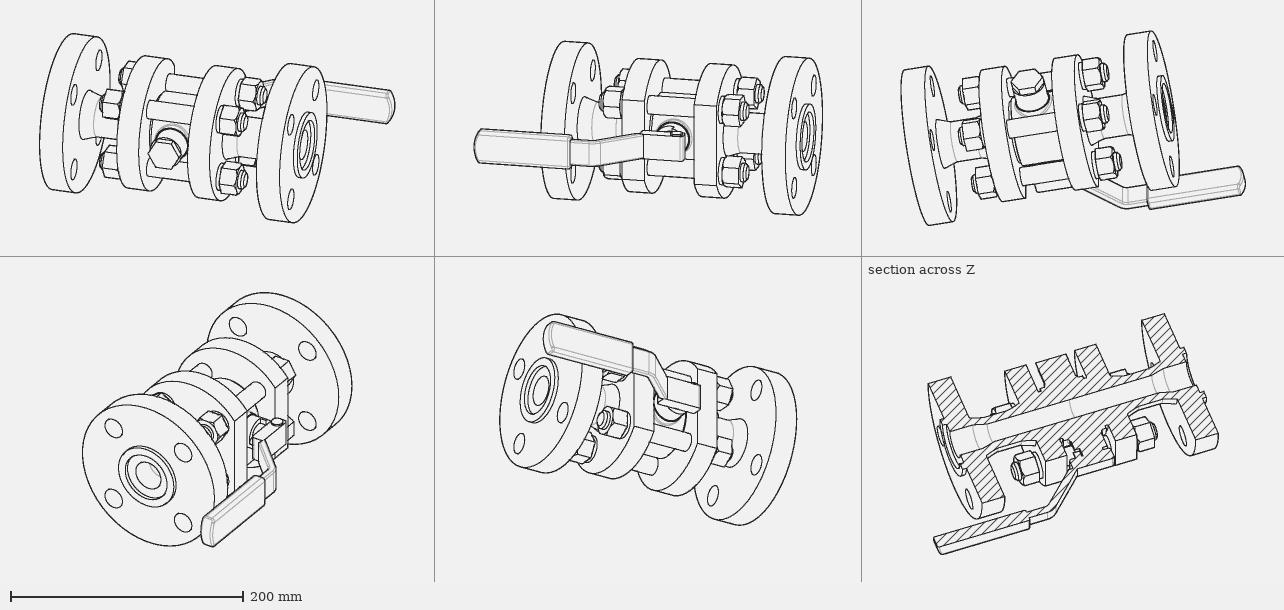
import cadquery as cq
import math


FACE_X = 112.0
FLANGE_X = 108.5
FLANGE_THICKNESS = 21.0
FLANGE_DIA = 136.0
RAISED_DIA = 57.0
RECESS_DIA = 43.0
FLANGE_HOLE_DIA = 18.0
FLANGE_HOLE_OFFSET = 35.7
PIPE_DIA = 35.0
HUB_DIA = 43.0
HUB_LENGTH = 12.0
HUB_HOLLOW = 0.3
PORT_DIA = 26.0
BORE_DIA = 19.0

CLAMP_OUTER_X = 42.0
CLAMP_THICKNESS = 20.0
CLAMP_DIA = 115.2
CLAMP_FLAT_Y = 45.2
BODY_DIA = 59.5
BODY_HALF_LENGTH = 19.5
SEAT_DIA = 54.0

STUD_OFFSET = 27.5
STUD_DIA = 16.0
STUD_TIP_DIA = 12.0
STUD_END_X = 65.0
WASHER_DIA = 23.7
WASHER_THICKNESS = 3.3
NUT_THICKNESS = 15.0
NUT_CORNER_DIA = 28.0
NUT_BEVEL = 1.5

BOSS_DIA = 28.0
COLLAR_DIA = 30.0
COLLAR_Y = 32.5
COLLAR_ROOT_RADIUS = 1.4
BOSS_TOP_Y = 48.0
PLUG_Y = -50.0
PLUG_END_Y = -56.5
NOTCH_FLOOR_Y = 42.2
NOTCH_WALL = 3.3
STEM_DIA = 19.0
STOP_PIN_DIA = 6.0
STOP_PIN_X = 13.3
STOP_PIN_END_Y = 44.0

LEVER_HUB_LEFT_X = -15.8
LEVER_HUB_RIGHT_X = 22.3
LEVER_HUB_Y = 55.8
LEVER_HUB_HEIGHT = 12.0
LEVER_HUB_RADIUS = 2.5
SCREW_X = -9.0
SCREW_DIA = 10.3
SCREW_HEAD_HEIGHT = 1.4
LEVER_WIDTH = 22.0
LEVER_THICKNESS = 6.8
LEVER_EDGE_RADIUS = 1.4
LEVER_START_Y = 59.5
LEVER_BEND_X = 54.7
LEVER_BEND_RADIUS = 9.5
GRIP_START_X = 75.5
GRIP_END_X = 272.3 - FACE_X
GRIP_CROWN = 4.4
GRIP_WIDTH = 28.9
GRIP_THICKNESS = 12.0
GRIP_Y = 167.0 - FLANGE_DIA / 2 - GRIP_THICKNESS / 2
GRIP_EDGE_RADIUS = 3.0
GRIP_END_RADIUS = 1.5

FLANGE_BACK_X = FLANGE_X - FLANGE_THICKNESS
CLAMP_INNER_X = CLAMP_OUTER_X - CLAMP_THICKNESS
WASHER_X = CLAMP_OUTER_X + WASHER_THICKNESS
NUT_X = WASHER_X + NUT_THICKNESS
ALONG_X = cq.Vector(1, 0, 0)
ALONG_Y = cq.Vector(0, 1, 0)


def x_cylinder(diameter, start, end, y=0, z=0):
    """Cylinder along X between two X positions."""
    axis_point = cq.Vector(start, y, z)
    return cq.Workplane(cq.Solid.makeCylinder(diameter / 2, end - start, axis_point, ALONG_X))


def y_cylinder(diameter, start, end, x=0):
    """Cylinder along Y between two Y positions."""
    axis_point = cq.Vector(x, start, 0)
    return cq.Workplane(cq.Solid.makeCylinder(diameter / 2, end - start, axis_point, ALONG_Y))


def corners(offset):
    """The four (y, z) places of a square pattern around the X axis."""
    return [(y, z) for y in (-offset, offset) for z in (-offset, offset)]


def revolve_about_x(profile):
    """Solid of revolution from a half outline drawn in the XY plane."""
    return profile.close().revolve(360, (0, 0, 0), (1, 0, 0))


def end_flange():
    """Flange, raised ring and waisted neck of the +X end."""
    hub_r = HUB_DIA / 2
    pipe_r = PIPE_DIA / 2
    waist_r = (hub_r + pipe_r) / 2 - HUB_HOLLOW
    profile = (
        cq.Workplane("XY")
        .moveTo(CLAMP_OUTER_X, 0)
        .lineTo(CLAMP_OUTER_X, hub_r)
        .threePointArc((CLAMP_OUTER_X + HUB_LENGTH / 2, waist_r), (CLAMP_OUTER_X + HUB_LENGTH, pipe_r))
        .lineTo(FLANGE_BACK_X - HUB_LENGTH, pipe_r)
        .threePointArc((FLANGE_BACK_X - HUB_LENGTH / 2, waist_r), (FLANGE_BACK_X, hub_r))
        .lineTo(FLANGE_BACK_X, FLANGE_DIA / 2)
        .lineTo(FLANGE_X, FLANGE_DIA / 2)
        .lineTo(FLANGE_X, RAISED_DIA / 2)
        .lineTo(FACE_X, RAISED_DIA / 2)
        .lineTo(FACE_X, RECESS_DIA / 2)
        .lineTo(FLANGE_X, RECESS_DIA / 2)
        .lineTo(FLANGE_X, 0)
    )
    flange = revolve_about_x(profile)
    for y, z in corners(FLANGE_HOLE_OFFSET):
        flange = flange.cut(x_cylinder(FLANGE_HOLE_DIA, FLANGE_BACK_X, FLANGE_X, y, z))
    return flange


def clamp_flange():
    """Round clamp plate of the +X side with a flat towards the stem."""
    plate = x_cylinder(CLAMP_DIA, CLAMP_INNER_X, CLAMP_OUTER_X)
    stem_side = cq.Workplane("XY").box(
        CLAMP_THICKNESS, CLAMP_DIA, CLAMP_DIA, centered=(False, False, True)
    )
    return plate.cut(stem_side.translate((CLAMP_INNER_X, CLAMP_FLAT_Y, 0)))


def body():
    """Ball housing with the stem boss and the hexagonal plug across it."""
    housing = x_cylinder(BODY_DIA, -BODY_HALF_LENGTH, BODY_HALF_LENGTH)
    boss = y_cylinder(BOSS_DIA, PLUG_Y, BOSS_TOP_Y)
    collar = y_cylinder(COLLAR_DIA, -COLLAR_Y, COLLAR_Y)
    plug = (
        cq.Workplane("XZ", origin=(0, PLUG_Y, 0))
        .polygon(6, BOSS_DIA)
        .extrude(PLUG_Y - PLUG_END_Y)
    )
    notch = cq.Workplane("XY").box(BOSS_DIA, BOSS_DIA, BOSS_DIA, centered=False)
    notch = notch.translate((-NOTCH_WALL, NOTCH_FLOOR_Y, -NOTCH_WALL))
    seats = x_cylinder(SEAT_DIA, -CLAMP_INNER_X, CLAMP_INNER_X)
    housing = housing.union(collar).edges("%BSPLINE").fillet(COLLAR_ROOT_RADIUS)
    return housing.union(seats).union(boss).union(plug).cut(notch)


def nut(turn):
    """Hexagon nut on the X axis, starting at X = 0, bevelled at its +X end."""
    prism = cq.Workplane("YZ").polygon(6, NUT_CORNER_DIA).extrude(NUT_THICKNESS)
    bevel = x_cylinder(NUT_CORNER_DIA, 0, NUT_THICKNESS).faces(">X").chamfer(NUT_BEVEL)
    return prism.intersect(bevel).rotate((0, 0, 0), (1, 0, 0), turn)


def stud(y, z):
    """Stud through both clamp plates with a washer and nut at each end."""
    tip = (STUD_DIA - STUD_TIP_DIA) / 2
    parts = x_cylinder(STUD_DIA, -STUD_END_X, STUD_END_X).faces("<X or >X").chamfer(tip)
    parts = parts.union(x_cylinder(WASHER_DIA, -WASHER_X, -CLAMP_OUTER_X))
    parts = parts.union(x_cylinder(WASHER_DIA, CLAMP_OUTER_X, WASHER_X))
    turn = 0 if y * z > 0 else 90
    for start in (-NUT_X, WASHER_X):
        parts = parts.union(nut(turn).translate((start, 0, 0)))
    return parts.translate((0, y, z))


def lever_bar():
    """Cranked flat bar rising at 45 degrees from the hub, then running along X."""
    half = LEVER_THICKNESS / 2
    slope_shift = half * math.sqrt(2)
    corner_shift = half * math.tan(math.pi / 8)
    bar_end_x = (GRIP_START_X + GRIP_END_X) / 2
    start_x = LEVER_BEND_X - (GRIP_Y - LEVER_START_Y)
    bar = (
        cq.Workplane("XY", origin=(0, 0, -LEVER_WIDTH / 2))
        .moveTo(start_x - slope_shift, LEVER_START_Y)
        .lineTo(start_x + slope_shift, LEVER_START_Y)
        .lineTo(LEVER_BEND_X + corner_shift, GRIP_Y - half)
        .lineTo(bar_end_x, GRIP_Y - half)
        .lineTo(bar_end_x, GRIP_Y + half)
        .lineTo(LEVER_BEND_X - corner_shift, GRIP_Y + half)
        .close()
        .extrude(LEVER_WIDTH)
    )
    inner = cq.selectors.NearestToPointSelector((LEVER_BEND_X + corner_shift, GRIP_Y - half, 0))
    outer = cq.selectors.NearestToPointSelector((LEVER_BEND_X - corner_shift, GRIP_Y + half, 0))
    bar = bar.edges("|Z").edges(inner).fillet(LEVER_BEND_RADIUS - half)
    bar = bar.edges("|Z").edges(outer).fillet(LEVER_BEND_RADIUS + half)
    return bar.faces("<Z or >Z").edges().fillet(LEVER_EDGE_RADIUS)


def grip():
    """Sleeve over the lever bar with rounded edges and a crowned end."""
    half = GRIP_WIDTH / 2
    sleeve = (
        cq.Workplane("XZ", origin=(0, GRIP_Y + GRIP_THICKNESS / 2, 0))
        .moveTo(GRIP_START_X, -half)
        .lineTo(GRIP_END_X - GRIP_CROWN, -half)
        .threePointArc((GRIP_END_X, 0), (GRIP_END_X - GRIP_CROWN, half))
        .lineTo(GRIP_START_X, half)
        .close()
        .extrude(GRIP_THICKNESS)
    )
    sleeve = sleeve.edges("|X").fillet(GRIP_EDGE_RADIUS)
    return sleeve.faces("<X or >X").edges().fillet(GRIP_END_RADIUS)


def lever():
    """Stem, lever hub with its clamp screw and stop pin, bar and grip."""
    hub_bottom = LEVER_HUB_Y - LEVER_HUB_HEIGHT / 2
    hub_length = LEVER_HUB_RIGHT_X - LEVER_HUB_LEFT_X
    hub = cq.Workplane("XY").box(hub_length, LEVER_HUB_HEIGHT, LEVER_WIDTH)
    hub = hub.edges("|Z").fillet(LEVER_HUB_RADIUS)
    hub = hub.translate(((LEVER_HUB_LEFT_X + LEVER_HUB_RIGHT_X) / 2, LEVER_HUB_Y, 0))
    screw = (
        cq.Workplane("XY", origin=(SCREW_X, LEVER_HUB_Y, 0))
        .circle(SCREW_DIA / 2)
        .extrude(LEVER_WIDTH / 2 + SCREW_HEAD_HEIGHT)
    )
    stem = y_cylinder(STEM_DIA, NOTCH_FLOOR_Y, hub_bottom)
    stop_pin = y_cylinder(STOP_PIN_DIA, STOP_PIN_END_Y, hub_bottom, STOP_PIN_X)
    return hub.union(screw).union(stem).union(stop_pin).union(lever_bar()).union(grip())


def bore():
    """Straight bore that widens through the flange hubs to the end ports."""
    profile = (
        cq.Workplane("XY")
        .moveTo(0, 0)
        .lineTo(0, BORE_DIA / 2)
        .lineTo(FLANGE_BACK_X - HUB_LENGTH, BORE_DIA / 2)
        .lineTo(FLANGE_BACK_X, PORT_DIA / 2)
        .lineTo(FACE_X, PORT_DIA / 2)
        .lineTo(FACE_X, 0)
    )
    half = revolve_about_x(profile)
    return half.union(half.mirror("YZ"))


right_end = end_flange().union(clamp_flange())
result = body().union(right_end).union(right_end.mirror("YZ"))
for stud_y, stud_z in corners(STUD_OFFSET):
    result = result.union(stud(stud_y, stud_z))
result = result.union(lever()).cut(bore())